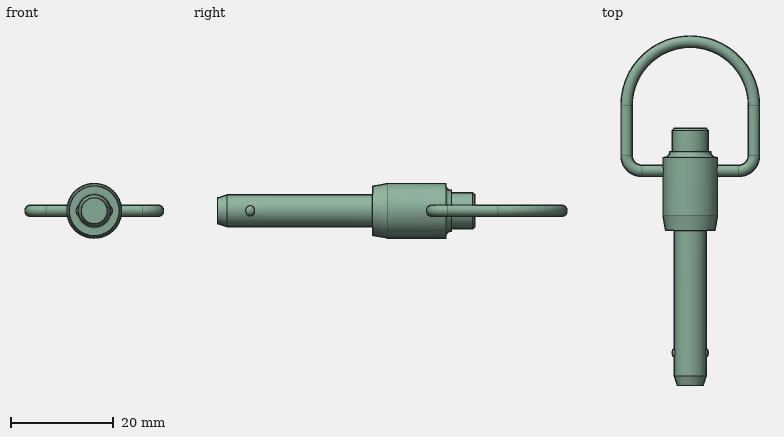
import cadquery as cq

shank_radius = 3.1
shank_root_fillet = 0.2
tip_radius = 2.5
tip_length = 1.9

ball_radius = 1.15
ball_reach = 3.55
ball_y = 6.4

body_radius = 5.34
body_start_radius = 4.8
body_start_y = 30.2
body_cone_length = 2.85
body_top_y = 44.45

collar_radius = 4.0
collar_base_fillet = 1.0
collar_top_y = 45.6
button_radius = 3.55
button_top_y = 50.1
button_chamfer = 0.4

overall_length = 68.05
ring_width = 27.0
wire_radius = 1.12
ring_arm_y = 41.8
ring_bend_radius = 3.0


def frustum(start_y, end_y, start_radius, end_radius):
    """Solid of revolution about Y between two radii."""
    half_profile = [(0, start_y), (start_radius, start_y), (end_radius, end_y), (0, end_y)]
    return cq.Workplane("XY").polyline(half_profile).close().revolve(360, (0, 0), (0, 1))


def cylinder(start_y, end_y, radius):
    return frustum(start_y, end_y, radius, radius)


def concave_flare(base_y, top_y, radius, fillet_radius):
    """Cylinder whose base curves out to meet a flat face; top_y below base_y points it toward -Y."""
    direction = 1 if top_y > base_y else -1
    half_profile = (
        cq.Workplane("XY")
        .moveTo(0, base_y)
        .lineTo(radius + fillet_radius, base_y)
        .radiusArc((radius, base_y + direction * fillet_radius), direction * fillet_radius)
        .lineTo(radius, top_y)
        .lineTo(0, top_y)
        .close()
    )
    return half_profile.revolve(360, (0, 0), (0, 1))


def make_shank():
    tip = frustum(0, tip_length, tip_radius, shank_radius)
    return tip.union(concave_flare(body_start_y, tip_length, shank_radius, shank_root_fillet))


def make_body():
    cone_top_y = body_start_y + body_cone_length
    cone = frustum(body_start_y, cone_top_y, body_start_radius, body_radius)
    barrel = cylinder(cone_top_y, body_top_y, body_radius)
    return cone.union(barrel)


def make_button():
    collar = concave_flare(body_top_y, collar_top_y, collar_radius, collar_base_fillet)
    button = cylinder(collar_top_y, button_top_y, button_radius).faces(">Y").chamfer(button_chamfer)
    return collar.union(button)


def make_ball(side):
    center_x = side * (ball_reach - ball_radius)
    return cq.Workplane("XY").sphere(ball_radius).translate((center_x, ball_y, 0))


def make_ring():
    """Round wire bent into a D, with both arms meeting inside the body."""
    half_width = ring_width / 2 - wire_radius
    arch_y = overall_length - wire_radius - half_width
    arm_end_x = half_width - ring_bend_radius
    bend_end_y = ring_arm_y + ring_bend_radius
    path = (
        cq.Workplane("XY")
        .moveTo(0, ring_arm_y)
        .lineTo(arm_end_x, ring_arm_y)
        .radiusArc((half_width, bend_end_y), -ring_bend_radius)
        .lineTo(half_width, arch_y)
        .threePointArc((0, arch_y + half_width), (-half_width, arch_y))
        .lineTo(-half_width, bend_end_y)
        .radiusArc((-arm_end_x, ring_arm_y), -ring_bend_radius)
        .lineTo(0, ring_arm_y)
    )
    return cq.Workplane("YZ").center(ring_arm_y, 0).circle(wire_radius).sweep(path)


result = make_shank().union(make_body()).union(make_button()).union(make_ring())
for side in (-1, 1):
    result = result.union(make_ball(side))